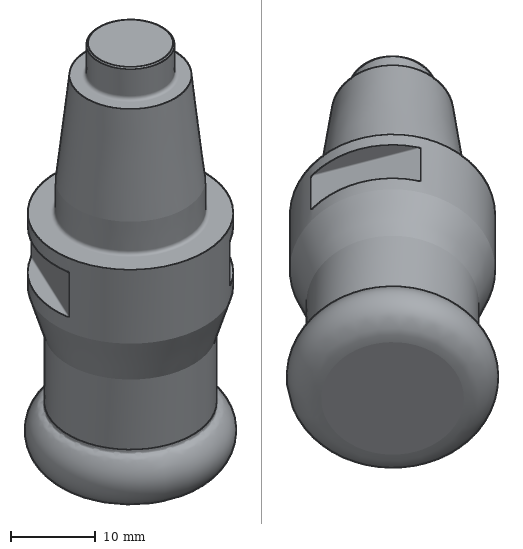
import cadquery as cq
import math

bulb_diameter = 24.94
bulb_height = 8.17
rim_radius = 4.07
rim_angles = range(-60, 61, 30)

neck_radius = 20.31 / 2
neck_top_z = 18.1

collar_radius = 24.2 / 2
collar_bottom_z = 24.5
collar_top_z = 35.0
flats_width = 20.0
flats_bottom_z = 26.6
flats_top_z = 33.0
flats_corner_radius = 0.2

shank_base_radius = 17.75 / 2
shank_taper_start_radius = 17.65 / 2
shank_top_radius = 14.4 / 2
shank_taper_start_z = 39.6
shank_top_z = 54.5
pin_radius = 10.4 / 2
pin_top_z = 59.0
pin_chamfer = 0.2
root_fillet_radius = 0.5

diagonal = math.sqrt(0.5)


def make_bulb():
    """Disc below the neck: one smooth rim surface from the flat bottom up to the neck edge."""
    rim_center_r = bulb_diameter / 2 - rim_radius
    rim_points = []
    for angle in rim_angles:
        direction = math.radians(angle)
        point_r = rim_center_r + rim_radius * math.cos(direction)
        point_z = rim_radius + rim_radius * math.sin(direction)
        rim_points.append((point_r, point_z))
    neck_edge = (neck_radius, bulb_height)
    return (
        cq.Workplane("XZ")
        .lineTo(rim_center_r, 0)
        .spline([*rim_points, neck_edge], tangents=[(1, 0), (0, 1)], includeCurrent=True)
        .lineTo(0, bulb_height)
        .close()
        .revolve(360, (0, 0, 0), (0, 1, 0))
    )


def add_root_fillet(outline, wall_radius, floor_z):
    """Run an outline inward along a flat floor and round it up into the wall that stands on it."""
    fillet_start = (wall_radius + root_fillet_radius, floor_z)
    fillet_inset = root_fillet_radius * (1 - diagonal)
    fillet_middle = (wall_radius + fillet_inset, floor_z + fillet_inset)
    fillet_end = (wall_radius, floor_z + root_fillet_radius)
    return outline.lineTo(*fillet_start).threePointArc(fillet_middle, fillet_end)


def make_flat_cutter():
    """Block that mills the flat on the +Y side, with its two inner long edges rounded."""
    depth = collar_radius - flats_width / 2
    cutter_depth = 2 * depth
    return (
        cq.Workplane("XY")
        .box(2 * collar_radius, cutter_depth, flats_top_z - flats_bottom_z)
        .edges("|X and <Y")
        .fillet(flats_corner_radius)
        .translate((0, flats_width / 2 + cutter_depth / 2, (flats_top_z + flats_bottom_z) / 2))
    )


def make_holder():
    """Turned body above the bulb: neck, shoulder, collar, tapered shank and end pin."""
    outline = (
        cq.Workplane("XZ")
        .moveTo(0, bulb_height)
        .lineTo(neck_radius, bulb_height)
        .lineTo(neck_radius, neck_top_z)
        .lineTo(collar_radius, collar_bottom_z)
        .lineTo(collar_radius, collar_top_z)
    )
    outline = add_root_fillet(outline, shank_base_radius, collar_top_z)
    outline = outline.lineTo(shank_taper_start_radius, shank_taper_start_z)
    outline = outline.lineTo(shank_top_radius, shank_top_z)
    outline = add_root_fillet(outline, pin_radius, shank_top_z)
    turned = (
        outline
        .lineTo(pin_radius, pin_top_z - pin_chamfer)
        .lineTo(pin_radius - pin_chamfer, pin_top_z)
        .lineTo(0, pin_top_z)
        .close()
        .revolve(360, (0, 0, 0), (0, 1, 0))
    )
    flat_cutter = make_flat_cutter()
    return turned.cut(flat_cutter).cut(flat_cutter.mirror("XZ"))


bulb = make_bulb()
holder = make_holder()

result = cq.Compound.makeCompound([bulb.val(), holder.val()])